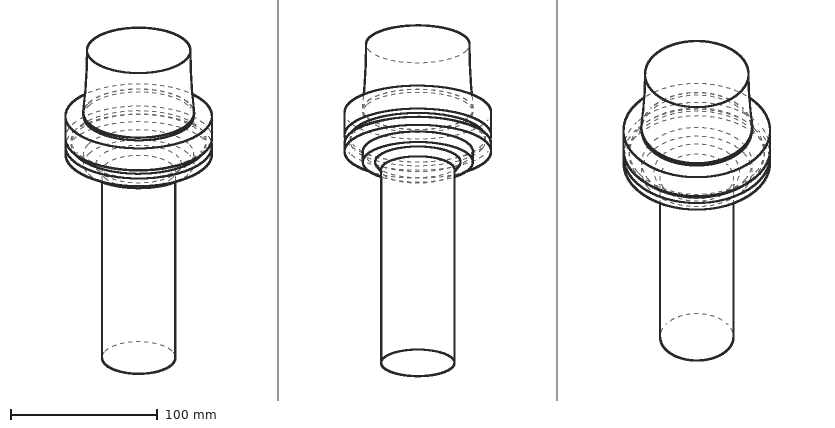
import cadquery as cq
import math

TAPER_TOP_DIAMETER = 70.5
TAPER_BASE_DIAMETER = 75.7
COLLAR_DIAMETER = 75.0
FLANGE_DIAMETER = 100.0
GROOVE_DIAMETER = 92.0
CONE_TOP_DIAMETER = 58.2
SHANK_DIAMETER = 50.0

TOTAL_HEIGHT = 233.0
TAPER_BASE_Z = 185.2
FLANGE_TOP_Z = 183.1
GROOVE_CENTER_Z = 163.3
FLANGE_BOTTOM_Z = 154.5
COLLAR_BOTTOM_Z = 146.8
SHANK_TOP_Z = 141.2

GROOVE_MOUTH_HEIGHT = 6.0
GROOVE_FLOOR_HEIGHT = 2.8


def make_body():
    """Revolve the shank, cone, collar, flange and flared taper as one profile."""
    flare_drop = TOTAL_HEIGHT - TAPER_BASE_Z
    flare_width = (TAPER_BASE_DIAMETER - TAPER_TOP_DIAMETER) / 2
    flare_half_sweep = math.atan2(flare_width, flare_drop)
    flare_radius = flare_drop / math.sin(2 * flare_half_sweep)
    flare_middle_x = TAPER_TOP_DIAMETER / 2 + flare_radius * (1 - math.cos(flare_half_sweep))
    flare_middle_z = TOTAL_HEIGHT - flare_radius * math.sin(flare_half_sweep)
    return (
        cq.Workplane("XZ")
        .lineTo(SHANK_DIAMETER / 2, 0)
        .lineTo(SHANK_DIAMETER / 2, SHANK_TOP_Z)
        .lineTo(CONE_TOP_DIAMETER / 2, COLLAR_BOTTOM_Z)
        .lineTo(COLLAR_DIAMETER / 2, COLLAR_BOTTOM_Z)
        .lineTo(COLLAR_DIAMETER / 2, FLANGE_BOTTOM_Z)
        .lineTo(FLANGE_DIAMETER / 2, FLANGE_BOTTOM_Z)
        .lineTo(FLANGE_DIAMETER / 2, FLANGE_TOP_Z)
        .lineTo(COLLAR_DIAMETER / 2, FLANGE_TOP_Z)
        .lineTo(COLLAR_DIAMETER / 2, TAPER_BASE_Z)
        .lineTo(TAPER_BASE_DIAMETER / 2, TAPER_BASE_Z)
        .threePointArc((flare_middle_x, flare_middle_z), (TAPER_TOP_DIAMETER / 2, TOTAL_HEIGHT))
        .lineTo(0, TOTAL_HEIGHT)
        .close()
        .revolve(360, (0, 0), (0, 1))
    )


def make_groove():
    """Ring with sloping sides, removed from the rim of the flange."""
    floor_radius = GROOVE_DIAMETER / 2
    rim_radius = FLANGE_DIAMETER / 2
    return (
        cq.Workplane("XZ")
        .moveTo(rim_radius, GROOVE_CENTER_Z - GROOVE_MOUTH_HEIGHT / 2)
        .lineTo(rim_radius, GROOVE_CENTER_Z + GROOVE_MOUTH_HEIGHT / 2)
        .lineTo(floor_radius, GROOVE_CENTER_Z + GROOVE_FLOOR_HEIGHT / 2)
        .lineTo(floor_radius, GROOVE_CENTER_Z - GROOVE_FLOOR_HEIGHT / 2)
        .close()
        .revolve(360, (0, 0), (0, 1))
    )


result = make_body().cut(make_groove())